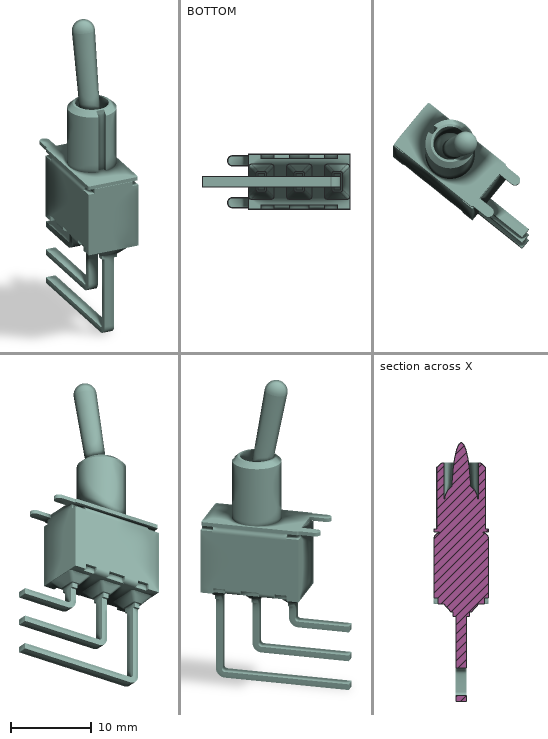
import cadquery as cq
import math


overall_length = 18.4
overall_height = 40.05

body_length = 12.7
body_width = 6.85
body_height = 8.93
recess_length = 9.53
shoulder_width = 0.8
shoulder_height = 0.6
frame_bend_diameter = 1.65
foot_recess_depth = 0.52
foot_recess_height = 0.72
clip_inner = 1.2
clip_outer = 3.15
clip_radius = 0.6

plate_thickness = 0.5
plate_rear_inset = 0.05
plate_front_inset = 0.1
plate_corner_radius = 0.25
tab_width = 1.3
tab_outer_y = 3.25
tab_tip_x = -8.93

bushing_diameter = 6.15
bushing_height = 8.2
bushing_chamfer_width = 0.7
bushing_chamfer_height = 0.6
bore_diameter = 4.2
keyway_width = 1.05

lever_tip_radius = 1.45
lever_neck_radius = 1.2
lever_tip_x = -2.5
lever_top = 27.9
pivot_depth = 4.7

terminal_count = 3
terminal_pitch = 4.72
terminal_thickness = 0.75
terminal_width = 1.32
terminal_tip_x = body_length / 2 - overall_length
terminal_bottom = lever_top - overall_height
terminal_row_spacing = 3.85
bend_inner_radius = 0.4
root_width = 2.1
root_bottom = -1.6
seal_length = 3.12
seal_width = 4.35
seal_bottom_length = 1.32
seal_height = 1.0
seal_corner_radius = 0.45

plate_top = body_height + plate_thickness
bushing_top = plate_top + bushing_height
pivot_z = bushing_top - pivot_depth
half_width = body_width / 2


def block(x_min, x_max, y_min, y_max, z_min, z_max):
    """Box given by its limits along each axis."""
    size = (x_max - x_min, y_max - y_min, z_max - z_min)
    return cq.Workplane("XY").box(*size, centered=False).translate((x_min, y_min, z_min))


def centered_block(length, width, z_min, z_max):
    """Box centred on the Z axis."""
    return block(-length / 2, length / 2, -width / 2, width / 2, z_min, z_max)


def make_housing():
    core_width = body_width - 2 * shoulder_width
    housing = centered_block(body_length, body_width, 0, body_height - shoulder_height)
    housing = housing.union(centered_block(body_length, core_width, 0, body_height))

    frame = centered_block(recess_length, body_width, foot_recess_height, body_height)
    frame = frame.edges("|X and >Z").fillet(frame_bend_diameter / 2)
    foot_width = body_width - 2 * foot_recess_depth
    housing = housing.cut(centered_block(recess_length, body_width, 0, body_height))
    housing = housing.union(frame)
    housing = housing.union(centered_block(recess_length, foot_width, 0, foot_recess_height))

    for x_min, x_max in ((-clip_outer, -clip_inner), (clip_inner, clip_outer)):
        clip = block(x_min, x_max, -half_width, half_width, 0, body_height / 2)
        housing = housing.union(clip.edges("|X and <Z").fillet(clip_radius))
    return housing


def make_plate():
    plate = block(plate_rear_inset - body_length / 2, body_length / 2 - plate_front_inset,
                  -half_width, half_width, body_height, plate_top)
    plate = plate.edges("|Z").fillet(plate_corner_radius)
    tab_radius = tab_width / 2
    for side in (-1, 1):
        tab_y = side * (tab_outer_y - tab_radius)
        tip_center_x = tab_tip_x + tab_radius
        tab = block(tip_center_x, 0, tab_y - tab_radius, tab_y + tab_radius, body_height, plate_top)
        tip = cq.Workplane("XY", origin=(tip_center_x, tab_y, body_height))
        plate = plate.union(tab).union(tip.circle(tab_radius).extrude(plate_thickness))
    return plate


def make_bushing():
    outer_radius = bushing_diameter / 2
    rim_radius = outer_radius - bushing_chamfer_width
    profile = cq.Workplane("XZ").polyline([
        (0, plate_top),
        (outer_radius, plate_top),
        (outer_radius, bushing_top - bushing_chamfer_height),
        (rim_radius, bushing_top),
        (bore_diameter / 2, bushing_top),
        (bore_diameter / 2, pivot_z),
        (0, pivot_z),
    ]).close()
    bushing = profile.revolve(360, (0, 0, 0), (0, 1, 0))
    keyway = block(rim_radius, bushing_diameter, -keyway_width / 2, keyway_width / 2,
                   plate_top, bushing_top)
    return bushing.cut(keyway)


def make_lever():
    """Tapered lever with a round tip, standing on a pivot ball that fills the bore."""
    tip_center_z = lever_top - lever_tip_radius
    rise = tip_center_z - pivot_z
    length = math.hypot(lever_tip_x, rise)
    tilt = math.degrees(math.atan2(lever_tip_x, rise))
    profile = (
        cq.Workplane("XZ")
        .lineTo(lever_neck_radius, 0)
        .lineTo(lever_tip_radius, length)
        .radiusArc((0, length + lever_tip_radius), -lever_tip_radius)
        .close()
    )
    lever = profile.revolve(360, (0, 0, 0), (0, 1, 0)).rotate((0, 0, 0), (0, 1, 0), tilt)
    ball = cq.Workplane("XY").sphere(bore_diameter / 2)
    return lever.union(ball).translate((0, 0, pivot_z))


def make_terminal(x, bottom):
    """Terminal that leaves a seal downward and bends toward -X."""
    outer_x = x + terminal_thickness / 2
    inner_x = x - terminal_thickness / 2
    upper_z = bottom + terminal_thickness
    outer_radius = bend_inner_radius + terminal_thickness
    profile = (
        cq.Workplane("XZ", origin=(0, terminal_width / 2, 0))
        .moveTo(terminal_tip_x, bottom)
        .lineTo(outer_x - outer_radius, bottom)
        .radiusArc((outer_x, bottom + outer_radius), -outer_radius)
        .lineTo(outer_x, 0)
        .lineTo(inner_x, 0)
        .lineTo(inner_x, upper_z + bend_inner_radius)
        .radiusArc((inner_x - bend_inner_radius, upper_z), bend_inner_radius)
        .lineTo(terminal_tip_x, upper_z)
        .close()
    )
    root = block(inner_x, outer_x, -root_width / 2, root_width / 2, root_bottom, 0)
    seal_taper = (seal_length - seal_bottom_length) / 2
    seal = (
        cq.Workplane("XY", origin=(x, 0, 0))
        .rect(seal_length, seal_width)
        .extrude(-seal_height, taper=math.degrees(math.atan2(seal_taper, seal_height)))
        .edges("not #Z")
        .fillet(seal_corner_radius)
    )
    return profile.extrude(terminal_width).union(root).union(seal)


result = make_housing().union(make_plate()).union(make_bushing()).union(make_lever())
for row in range(terminal_count):
    terminal_x = ((terminal_count - 1) / 2 - row) * terminal_pitch
    row_bottom = terminal_bottom + row * terminal_row_spacing
    result = result.union(make_terminal(terminal_x, row_bottom))